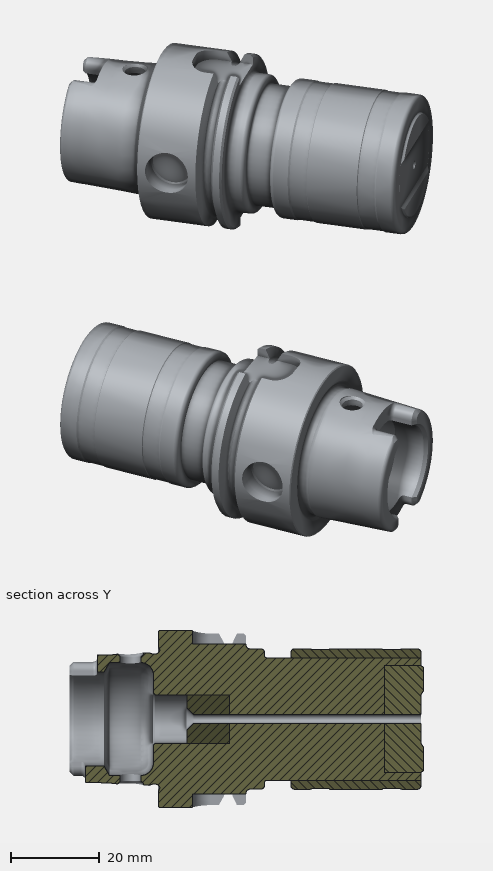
import cadquery as cq
import math

OVERALL_LENGTH = 79.9
COOLANT_RADIUS = 0.95

SHANK_END_RADIUS = 14.2
SHANK_LARGE_RADIUS = 15.0
SHANK_LARGE_X = 17.9
SHANK_EDGE_FILLET = 0.9
RELIEF_RADIUS = 14.8
RELIEF_START_X = 18.6
RELIEF_END_X = 19.3
RELIEF_FILLET = 0.95

FLANGE_X = 20.0
FLANGE_RADIUS = 40.0 / 2
FLANGE_END_X = 39.8
FLANGE_EDGE = 0.2
FLANGE_END_EDGE = 0.5
FACE_RECESS_DEPTH = 0.3
FACE_RECESS_INNER = 15.6
FACE_RECESS_OUTER = 16.3

GROOVE_START_X = 33.7
GROOVE_END_X = 37.8
GROOVE_RADIUS = 17.4
GROOVE_WALL_START_X = 34.8
GROOVE_WALL_END_X = 36.8
GROOVE_FILLET = 0.6

SHOULDER_RADIUS = 15.9
SHOULDER_END_X = 44.0
SHOULDER_FILLET = 0.95
NECK_RADIUS = 13.9
NECK_FILLET = 0.4

MOUTH_RADIUS = 10.55
MOUTH_CHAMFER = 0.5
MOUTH_CHAMFER_LENGTH = 0.9
CLAMP_SHOULDER_X = 7.75
CLAMP_RADIUS = 12.7
CLAMP_SHOULDER_ANGLE = 60.0
BORE_FLOOR_X = 18.85
BORE_FLOOR_FILLET = 2.9
SOCKET_RADIUS = 5.4
SOCKET_CHAMFER = 0.5
SOCKET_END_X = 35.95

SLOT_HALF_WIDTH = 4.0
SLOT_CORNER_RADIUS = 2.0
SLOT_SHELF_Z = 12.9
SLOT_SHELF_ANGLE = 14.0
UPPER_SLOT_DEPTH = 6.2
LOWER_SLOT_DEPTH = 3.5
SLOT_END_FILLET = 0.9
SLOT_MOUTH_CHAMFER = 0.9

CROSS_HOLE_X = 13.75
CROSS_HOLE_RADIUS = 2.3
CROSS_HOLE_RIM_RADIUS = 2.9
CROSS_HOLE_RIM_TOP = 14.6

KEYWAY_X = 27.7
KEYWAY_FLOOR_Z = 17.0
KEYWAY_CORNER_RADIUS = 4.0
UPPER_KEYWAY_WIDTH = 10.9
LOWER_KEYWAY_WIDTH = 9.0

POCKET_X = 26.9
POCKET_RADIUS = 5.0
POCKET_FLOOR_Y = 14.7
POCKET_FLOOR_CHAMFER = 0.3
REAR_POCKET_Z = 1.35

SLEEVE_X = 49.85
SLEEVE_END_X = 79.35
SLEEVE_RADIUS = 31.9 / 2
SLEEVE_EDGE_FILLET = 0.95
BAND_DEPTH = 0.15
BAND_RADIUS = SLEEVE_RADIUS - BAND_DEPTH
BAND_OUTER_OFFSET = 5.5
BAND_INNER_OFFSET = 11.1
BAND_OUTER_SLOPE = 0.5
BAND_INNER_SLOPE = 0.2

SCREW_X = 26.4
SCREW_CONE_RADIUS = 2.55
SCREW_CONE_DEPTH = 1.6

INSERT_X = 71.1
INSERT_RADIUS = 12.1
INSERT_EDGE_LENGTH = 0.6
INSERT_EDGE_DEPTH = 0.3
LUG_SLOT_HALF_WIDTH = 5.5
LUG_CHAMFER = 0.9

CUT_MARGIN = 8.0


def revolve_about_x(profile):
    return profile.close().revolve(360, (0, 0, 0), (1, 0, 0))


def cylinder_along_x(radius, start_x, end_x):
    return cq.Workplane("YZ", origin=(start_x, 0, 0)).circle(radius).extrude(end_x - start_x)



def holder_blank():
    blank = revolve_about_x(
        cq.Workplane("XY")
        .moveTo(0, 0)
        .lineTo(0, SHANK_END_RADIUS)
        .lineTo(SHANK_LARGE_X, SHANK_LARGE_RADIUS)
        .lineTo(RELIEF_START_X, RELIEF_RADIUS)
        .lineTo(RELIEF_END_X, RELIEF_RADIUS)
        .radiusArc((FLANGE_X + FACE_RECESS_DEPTH, FACE_RECESS_INNER), -RELIEF_FILLET)
        .lineTo(FLANGE_X, FACE_RECESS_OUTER)
        .lineTo(FLANGE_X, FLANGE_RADIUS - FLANGE_EDGE)
        .lineTo(FLANGE_X + FLANGE_EDGE, FLANGE_RADIUS)
        .lineTo(GROOVE_START_X, FLANGE_RADIUS)
        .lineTo(GROOVE_WALL_START_X, GROOVE_RADIUS + GROOVE_FILLET)
        .radiusArc((GROOVE_WALL_START_X + GROOVE_FILLET, GROOVE_RADIUS), -GROOVE_FILLET)
        .lineTo(GROOVE_WALL_END_X - GROOVE_FILLET, GROOVE_RADIUS)
        .radiusArc((GROOVE_WALL_END_X, GROOVE_RADIUS + GROOVE_FILLET), -GROOVE_FILLET)
        .lineTo(GROOVE_END_X, FLANGE_RADIUS)
        .lineTo(FLANGE_END_X - FLANGE_END_EDGE, FLANGE_RADIUS)
        .lineTo(FLANGE_END_X, FLANGE_RADIUS - FLANGE_END_EDGE)
        .lineTo(FLANGE_END_X, SHOULDER_RADIUS + SHOULDER_FILLET)
        .radiusArc((FLANGE_END_X + SHOULDER_FILLET, SHOULDER_RADIUS), -SHOULDER_FILLET)
        .lineTo(SHOULDER_END_X - SHOULDER_FILLET, SHOULDER_RADIUS)
        .radiusArc((SHOULDER_END_X, SHOULDER_RADIUS - SHOULDER_FILLET), SHOULDER_FILLET)
        .lineTo(SHOULDER_END_X, NECK_RADIUS + NECK_FILLET)
        .radiusArc((SHOULDER_END_X + NECK_FILLET, NECK_RADIUS), -NECK_FILLET)
        .lineTo(SLEEVE_END_X, NECK_RADIUS)
        .lineTo(SLEEVE_END_X, 0)
    )
    return blank.faces("<X").edges().fillet(SHANK_EDGE_FILLET)


def shank_bore():
    shoulder_length = (CLAMP_RADIUS - MOUTH_RADIUS) / math.tan(math.radians(CLAMP_SHOULDER_ANGLE))
    return revolve_about_x(
        cq.Workplane("XY")
        .moveTo(0, 0)
        .lineTo(0, MOUTH_RADIUS + MOUTH_CHAMFER)
        .lineTo(MOUTH_CHAMFER_LENGTH, MOUTH_RADIUS)
        .lineTo(CLAMP_SHOULDER_X, MOUTH_RADIUS)
        .lineTo(CLAMP_SHOULDER_X + shoulder_length, CLAMP_RADIUS)
        .lineTo(BORE_FLOOR_X - BORE_FLOOR_FILLET, CLAMP_RADIUS)
        .radiusArc((BORE_FLOOR_X, CLAMP_RADIUS - BORE_FLOOR_FILLET), BORE_FLOOR_FILLET)
        .lineTo(BORE_FLOOR_X, SOCKET_RADIUS + SOCKET_CHAMFER)
        .lineTo(BORE_FLOOR_X + SOCKET_CHAMFER, SOCKET_RADIUS)
        .lineTo(SOCKET_END_X, SOCKET_RADIUS)
        .lineTo(SOCKET_END_X, 0)
    )


def slot_outline(growth):
    """Slot section with rounded tooth corners and falling shelves; growth widens it evenly."""
    half_width = SLOT_HALF_WIDTH + growth
    shelf_z = SLOT_SHELF_Z - growth
    radius = SLOT_CORNER_RADIUS - growth
    shelf_angle = math.radians(SLOT_SHELF_ANGLE)
    shelf_start_y = half_width + radius + radius * math.sin(shelf_angle)
    shelf_start_z = shelf_z - radius + radius * math.cos(shelf_angle)
    shelf_end_z = shelf_start_z - (SHANK_LARGE_RADIUS - shelf_start_y) * math.tan(shelf_angle)
    arc_sweep = 90 + SLOT_SHELF_ANGLE
    return (
        cq.Sketch()
        .segment((-half_width, 0), (half_width, 0))
        .segment((half_width, shelf_z - radius))
        .arc((half_width + radius, shelf_z - radius), radius, 180, -arc_sweep)
        .segment((shelf_start_y, shelf_start_z), (SHANK_LARGE_RADIUS, shelf_end_z))
        .segment((SHANK_LARGE_RADIUS, FLANGE_RADIUS))
        .segment((-SHANK_LARGE_RADIUS, FLANGE_RADIUS))
        .segment((-SHANK_LARGE_RADIUS, shelf_end_z))
        .segment((-shelf_start_y, shelf_start_z))
        .arc((-half_width - radius, shelf_z - radius), radius, arc_sweep, -arc_sweep)
        .segment((-half_width, shelf_z - radius), (-half_width, 0))
        .assemble()
    )


def drive_slot(depth):
    slot = cq.Workplane("YZ").placeSketch(slot_outline(0)).extrude(depth)
    slot = slot.faces(">X").edges("not(<Z or >Z or <Y or >Y)").fillet(SLOT_END_FILLET)
    mouth = (
        cq.Workplane("YZ")
        .placeSketch(
            slot_outline(SLOT_MOUTH_CHAMFER),
            slot_outline(0).moved(cq.Location(cq.Vector(0, 0, SLOT_MOUTH_CHAMFER))),
        )
        .loft(ruled=True)
    )
    return slot.union(mouth)


def cross_hole():
    """Radial hole through the +Z wall of the shank with a conical rim at the outside."""
    rim_depth = CROSS_HOLE_RIM_RADIUS - CROSS_HOLE_RADIUS
    return (
        cq.Workplane("XZ", origin=(CROSS_HOLE_X, 0, 0))
        .lineTo(CROSS_HOLE_RADIUS, 0)
        .lineTo(CROSS_HOLE_RADIUS, CROSS_HOLE_RIM_TOP - rim_depth)
        .lineTo(CROSS_HOLE_RIM_RADIUS, CROSS_HOLE_RIM_TOP)
        .lineTo(CROSS_HOLE_RIM_RADIUS, FLANGE_RADIUS)
        .lineTo(0, FLANGE_RADIUS)
        .close()
        .revolve(360, (0, 0, 0), (0, 1, 0))
    )


def keyway(width):
    """Open-ended slot on the +Z side of the flange with a rounded inner end."""
    length = FLANGE_END_X - KEYWAY_X
    return (
        cq.Workplane("XY", origin=(KEYWAY_X + length / 2, 0, KEYWAY_FLOOR_Z))
        .rect(length, width)
        .extrude(CUT_MARGIN)
        .edges("|Z and <X")
        .fillet(KEYWAY_CORNER_RADIUS)
    )


def side_pocket():
    """Round blind pocket on the -Y side of the flange."""
    return (
        cq.Workplane("XZ", origin=(POCKET_X, -POCKET_FLOOR_Y, 0))
        .circle(POCKET_RADIUS)
        .extrude(CUT_MARGIN)
        .faces(">Y")
        .edges()
        .chamfer(POCKET_FLOOR_CHAMFER)
    )


def opposite(cutter):
    """The same cutter turned to the other side of the axis."""
    return cutter.rotate((0, 0, 0), (1, 0, 0), 180)


def make_holder():
    return (
        holder_blank()
        .cut(shank_bore())
        .cut(drive_slot(UPPER_SLOT_DEPTH))
        .cut(opposite(drive_slot(LOWER_SLOT_DEPTH)))
        .cut(cross_hole())
        .cut(opposite(cross_hole()))
        .cut(keyway(UPPER_KEYWAY_WIDTH))
        .cut(opposite(keyway(LOWER_KEYWAY_WIDTH)))
        .cut(side_pocket())
        .cut(opposite(side_pocket()).translate((0, 0, REAR_POCKET_Z)))
        .cut(cylinder_along_x(INSERT_RADIUS, INSERT_X, SLEEVE_END_X))
        .cut(cylinder_along_x(COOLANT_RADIUS, 0, OVERALL_LENGTH))
    )



def sleeve_band(end_x, inward):
    """Shallow band near one sleeve end; inward is +1 or -1 along X."""
    outer_x = end_x + inward * BAND_OUTER_OFFSET
    inner_x = end_x + inward * BAND_INNER_OFFSET
    return revolve_about_x(
        cq.Workplane("XY")
        .moveTo(outer_x, SLEEVE_RADIUS)
        .lineTo(outer_x + inward * BAND_OUTER_SLOPE, BAND_RADIUS)
        .lineTo(inner_x - inward * BAND_INNER_SLOPE, BAND_RADIUS)
        .lineTo(inner_x, SLEEVE_RADIUS)
    )


def make_sleeve():
    tube = cylinder_along_x(SLEEVE_RADIUS, SLEEVE_X, SLEEVE_END_X)
    tube = tube.faces("<X or >X").edges().fillet(SLEEVE_EDGE_FILLET)
    for end_x, inward in ((SLEEVE_X, 0.8), (SLEEVE_END_X, -0.8)):
        tube = tube.cut(sleeve_band(end_x, inward))
    return tube.cut(cylinder_along_x(NECK_RADIUS, SLEEVE_X, SLEEVE_END_X))



def make_stop_screw():
    return revolve_about_x(
        cq.Workplane("XY")
        .moveTo(SCREW_X, SCREW_CONE_RADIUS)
        .lineTo(SCREW_X, SOCKET_RADIUS)
        .lineTo(SOCKET_END_X, SOCKET_RADIUS)
        .lineTo(SOCKET_END_X, COOLANT_RADIUS)
        .lineTo(SCREW_X + SCREW_CONE_DEPTH, COOLANT_RADIUS)
    )



def make_drive_insert():
    """Round insert whose front end carries two lugs with a flared slot between them."""
    body = cylinder_along_x(INSERT_RADIUS, INSERT_X, OVERALL_LENGTH)
    body = body.faces(">X").edges().chamfer(INSERT_EDGE_LENGTH, INSERT_EDGE_DEPTH)
    lug_slot = (
        cq.Workplane("XZ", origin=(0, INSERT_RADIUS, 0))
        .moveTo(SLEEVE_END_X, -LUG_SLOT_HALF_WIDTH)
        .lineTo(OVERALL_LENGTH, -LUG_SLOT_HALF_WIDTH - LUG_CHAMFER)
        .lineTo(OVERALL_LENGTH, LUG_SLOT_HALF_WIDTH + LUG_CHAMFER)
        .lineTo(SLEEVE_END_X, LUG_SLOT_HALF_WIDTH)
        .close()
        .extrude(2 * INSERT_RADIUS)
    )
    return body.cut(lug_slot).cut(cylinder_along_x(COOLANT_RADIUS, INSERT_X, OVERALL_LENGTH))


holder = make_holder()
sleeve = make_sleeve()
stop_screw = make_stop_screw()
drive_insert = make_drive_insert()

result = cq.Compound.makeCompound(
    [body.solids().val() for body in (holder, sleeve, stop_screw, drive_insert)]
)